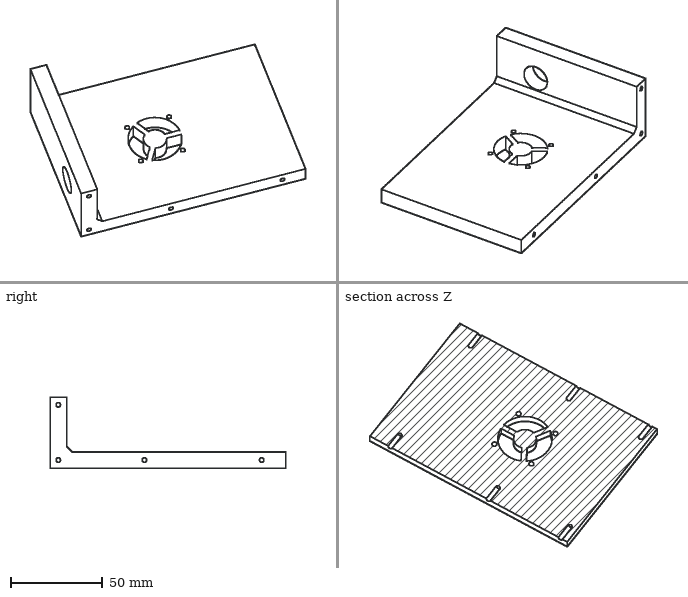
import cadquery as cq
import math

width = 90.0
length = 129.0
height = 39.0
plate_thickness = 9.0
wall_thickness = 9.3
corner_chamfer = 2.8

fan_center_y = 57.0
fan_opening_radius = 14.7
fan_hub_radius = 6.3
spoke_width = 3.1
spoke_count = 3
fan_screw_spacing = 24.1
fan_screw_diameter = 2.5

wall_hole_diameter = 15.0
wall_hole_from_right = 25.0
wall_hole_z = 20.0

side_hole_diameter = 2.5
side_hole_depth = 10.0
drill_tip_angle = 118
side_hole_inset = 4.5
rear_hole_from_back = 13.3
middle_hole_y = 51.6
wall_top_hole_z = 34.7


def make_bracket():
    """L-shaped profile extruded across the width, with a filled inner corner."""
    profile = [
        (0, 0),
        (length, 0),
        (length, plate_thickness),
        (wall_thickness + corner_chamfer, plate_thickness),
        (wall_thickness, plate_thickness + corner_chamfer),
        (wall_thickness, height),
        (0, height),
    ]
    return cq.Workplane("YZ").polyline(profile).close().extrude(width / 2, both=True)


def make_fan_cutter():
    """Ring opening interrupted by the spokes, plus the four fan screw holes."""
    center = cq.Workplane("XY").center(0, fan_center_y)
    cutter = center.circle(fan_opening_radius).circle(fan_hub_radius).extrude(plate_thickness)
    spoke_length = fan_opening_radius + spoke_width
    for index in range(spoke_count):
        spoke = (
            cq.Workplane("XY")
            .center(0, spoke_length / 2)
            .rect(spoke_width, spoke_length)
            .extrude(plate_thickness)
            .rotate((0, 0, 0), (0, 0, 1), index * 360 / spoke_count)
            .translate((0, fan_center_y, 0))
        )
        cutter = cutter.cut(spoke)
    screws = (
        center.rect(fan_screw_spacing, fan_screw_spacing, forConstruction=True)
        .vertices()
        .circle(fan_screw_diameter / 2)
        .extrude(plate_thickness)
    )
    return cutter.union(screws)


def make_wall_hole():
    """Cylinder through the wall, parallel to Y."""
    hole_x = width / 2 - wall_hole_from_right
    return (
        cq.Workplane("XZ")
        .center(hole_x, wall_hole_z)
        .circle(wall_hole_diameter / 2)
        .extrude(-wall_thickness)
    )


def make_side_holes():
    """Screw holes with conical drill tips entering the left face, mirrored onto the right face."""
    positions = [
        (side_hole_inset, side_hole_inset),
        (middle_hole_y, side_hole_inset),
        (length - rear_hole_from_back, side_hole_inset),
        (side_hole_inset, wall_top_hole_z),
    ]
    radius = side_hole_diameter / 2
    tip_length = radius / math.tan(math.radians(drill_tip_angle / 2))
    drill_half_section = [
        (0, 0),
        (0, radius),
        (side_hole_depth, radius),
        (side_hole_depth + tip_length, 0),
    ]
    drill = cq.Workplane("XY").polyline(drill_half_section).close().revolve(360, (0, 0), (1, 0))
    left = cq.Workplane("XY")
    for y, z in positions:
        left = left.add(drill.translate((-width / 2, y, z)))
    left = left.combine()
    return left.union(left.mirror("YZ"))


result = make_bracket().cut(make_fan_cutter()).cut(make_wall_hole()).cut(make_side_holes())